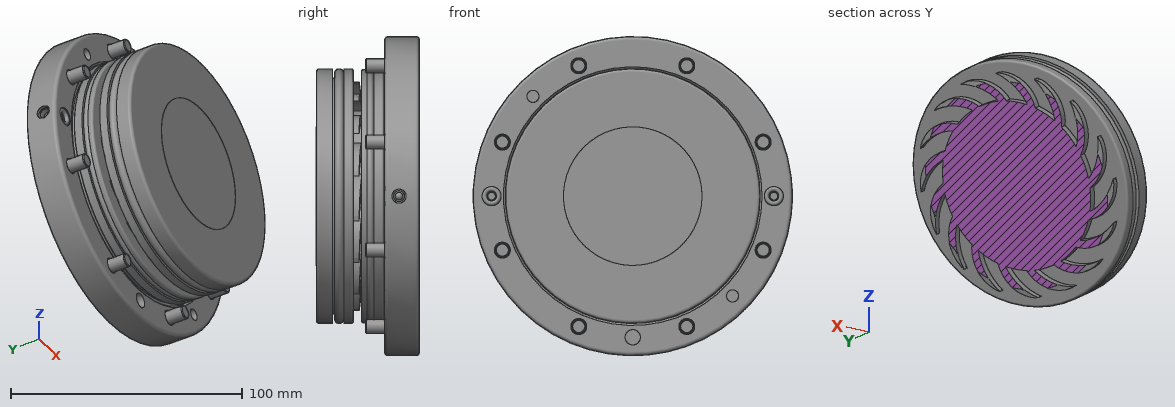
import cadquery as cq
import math


FLANGE_RADIUS = 69.0
FLANGE_THICKNESS = 15.0
FLANGE_FILLET = 1.5

RELIEF_OUTER_RADIUS = 55.9
RELIEF_DEPTH = 1.0
NECK_RADIUS = 53.7

HUB_RADIUS = 54.8
HUB_BACK = 15.3
HUB_FRONT = 25.1
HUB_FILLET = 1.0
HUB_SEAL_SECTION = 3.0
HUB_SEAL_SETBACK = 0.1
HUB_GROOVE_BACK = 19.7
HUB_GROOVE_WIDTH = 3.0

CORE_RADIUS = 38.0
SLOPE_START_RADIUS = 42.1
VANE_COUNT = 16
VANE_TIP_RADIUS = 50.1
VANE_TIP_HEIGHT = 2.5
VANE_TIP_ANGLE = 2.4
VANE_ROOT_ANGLE = 6.0
VANE_SWEEP = 26.0
VANE_FRONT_BULGE = 3.0
VANE_BACK_BULGE = 1.1
VANE_ROOT_OVERLAP = 1.4
VANE_START_ANGLE = 80.0

DISK_RADIUS = 55.0
DISK_BACK = 28.5
DISK_FRONT = 44.5
DISK_BACK_FILLET = 1.0
DISK_FRONT_FILLET = 1.4
DISK_SEAL_SECTION = 4.0
DISK_GROOVE_BACK = 32.7
DISK_GROOVE_WIDTH = 4.8
PAD_RADIUS = 30.0
PAD_HEIGHT = 0.1

PITCH_RADIUS = 61.0
PIN_COUNT = 8
PIN_RADIUS = 3.0
PIN_LENGTH = 8.3
PIN_CHAMFER = 0.4
PIN_CLEARANCE_RADIUS = 3.5
PIN_CLEARANCE_DEPTH = 6.9
DOWEL_HOLE_RADIUS = 2.6
DOWEL_HOLE_DEPTH = 6.9
DOWEL_ANGLES = (135, 315)
LOCATING_HOLE_RADIUS = 3.3
LOCATING_HOLE_DEPTH = 6.9
LOCATING_HOLE_ANGLE = 270

PORT_SEAL_SECTION = 2.1
PORT_SEAT_RADIUS = 4.1
PORT_BORE_RADIUS = 1.7
PORT_BORE_DEPTH = 6.3
RADIAL_DEPTH = 8.8
RADIAL_SEAT_RADIUS = 3.0
RADIAL_SEAT_DEPTH = 1.4
RADIAL_BORE_RADIUS = 2.3
RADIAL_BORE_DEPTH = 4.1
DOME_RADIUS = 1.7

PORT_ANGLES = (0, 180)


def polar(radius, angle):
    """X and Z of a point at a radius and an angle about the Y axis."""
    turn = math.radians(angle)
    return radius * math.cos(turn), radius * math.sin(turn)


def on_pitch_circle(angle):
    return polar(PITCH_RADIUS, angle)


def cylinder(radius, back, front, center=(0, 0)):
    """Cylinder along Y between two depths, centred at the given X and Z."""
    x, z = center
    return cq.Workplane("XZ", origin=(x, -back, z)).circle(radius).extrude(front - back)


def ring(outer_radius, inner_radius, back, front):
    """Coaxial ring along Y between two depths."""
    return cylinder(outer_radius, back, front).cut(cylinder(inner_radius, back, front))


def seal(mean_radius, section, depth, center=(0, 0)):
    """O-ring around Y at the given depth, centred at the given X and Z."""
    x, z = center
    profile = cq.Workplane("XY").center(mean_radius, -depth).circle(section / 2)
    turned = profile.revolve(360, (-mean_radius, 0), (-mean_radius, 1))
    return turned.translate((x, 0, z))


def make_flange():
    flange = cylinder(FLANGE_RADIUS, 0, FLANGE_THICKNESS).edges().fillet(FLANGE_FILLET)
    floor = FLANGE_THICKNESS - RELIEF_DEPTH
    relief = (
        cq.Workplane("XY")
        .moveTo(NECK_RADIUS, -floor)
        .lineTo(RELIEF_OUTER_RADIUS - RELIEF_DEPTH, -floor)
        .lineTo(RELIEF_OUTER_RADIUS, -FLANGE_THICKNESS)
        .lineTo(NECK_RADIUS, -FLANGE_THICKNESS)
        .close()
        .revolve(360, (0, 0), (0, 1))
    )
    return flange.cut(relief).union(cylinder(NECK_RADIUS, floor, HUB_BACK))


def make_hub():
    hub = cylinder(HUB_RADIUS, HUB_BACK, HUB_FRONT).edges().fillet(HUB_FILLET)
    floor = HUB_RADIUS - HUB_SEAL_SETBACK - HUB_SEAL_SECTION
    groove = ring(FLANGE_RADIUS, floor, HUB_GROOVE_BACK, HUB_GROOVE_BACK + HUB_GROOVE_WIDTH)
    return hub.cut(groove)


def make_disk():
    disk = cylinder(DISK_RADIUS, DISK_BACK, DISK_FRONT)
    disk = disk.faces(">Y").edges().fillet(DISK_BACK_FILLET)
    disk = disk.faces("<Y").edges().fillet(DISK_FRONT_FILLET)
    floor = DISK_RADIUS - DISK_SEAL_SECTION
    groove = ring(FLANGE_RADIUS, floor, DISK_GROOVE_BACK, DISK_GROOVE_BACK + DISK_GROOVE_WIDTH)
    pad = cylinder(PAD_RADIUS, DISK_FRONT, DISK_FRONT + PAD_HEIGHT)
    return disk.cut(groove).union(pad)


def make_vane(tip_angle):
    """One swept vane between two bowed sides, narrow at the tip and wider where it joins the core."""
    root_radius = CORE_RADIUS - VANE_ROOT_OVERLAP
    mean_radius = (VANE_TIP_RADIUS + root_radius) / 2
    root_angle = tip_angle + VANE_SWEEP
    back_tip_angle = tip_angle - VANE_TIP_ANGLE
    back_root_angle = root_angle - VANE_ROOT_ANGLE
    front_middle = polar(mean_radius + VANE_FRONT_BULGE, (tip_angle + root_angle) / 2)
    back_middle = polar(mean_radius + VANE_BACK_BULGE, (back_tip_angle + back_root_angle) / 2)
    return (
        cq.Workplane("XZ", origin=(0, -HUB_FRONT, 0))
        .moveTo(*polar(VANE_TIP_RADIUS, tip_angle))
        .threePointArc(front_middle, polar(root_radius, root_angle))
        .lineTo(*polar(root_radius, back_root_angle))
        .threePointArc(back_middle, polar(VANE_TIP_RADIUS, back_tip_angle))
        .close()
        .extrude(DISK_BACK - HUB_FRONT)
    )


def make_vane_ring():
    """Core and vanes, with the vanes' tops sloping down from the core to their tips."""
    envelope = (
        cq.Workplane("XY")
        .moveTo(0, -HUB_FRONT)
        .lineTo(SLOPE_START_RADIUS, -HUB_FRONT)
        .lineTo(VANE_TIP_RADIUS, VANE_TIP_HEIGHT - DISK_BACK)
        .lineTo(VANE_TIP_RADIUS, -DISK_BACK)
        .lineTo(0, -DISK_BACK)
        .close()
        .revolve(360, (0, 0), (0, 1))
    )
    vanes = cylinder(CORE_RADIUS, HUB_FRONT, DISK_BACK)
    for index in range(VANE_COUNT):
        vanes = vanes.union(make_vane(VANE_START_ANGLE + index * 360 / VANE_COUNT))
    return vanes.intersect(envelope)


def add_pins(body):
    """Pins standing on the flange, each in a clearance ring."""
    root = FLANGE_THICKNESS - PIN_CLEARANCE_DEPTH
    for index in range(PIN_COUNT):
        center = on_pitch_circle((index + 0.5) * 360 / PIN_COUNT)
        pin = cylinder(PIN_RADIUS, root, FLANGE_THICKNESS + PIN_LENGTH, center)
        pin = pin.faces("<Y").edges().chamfer(PIN_CHAMFER)
        body = body.cut(cylinder(PIN_CLEARANCE_RADIUS, root, FLANGE_THICKNESS, center)).union(pin)
    return body


def face_hole(radius, depth, angle):
    """Blind hole into the flange face."""
    return cylinder(radius, FLANGE_THICKNESS - depth, FLANGE_THICKNESS, on_pitch_circle(angle))


def cut_face_holes(body):
    """Two dowel holes on one diagonal and the locating hole at the bottom."""
    for angle in DOWEL_ANGLES:
        body = body.cut(face_hole(DOWEL_HOLE_RADIUS, DOWEL_HOLE_DEPTH, angle))
    return body.cut(face_hole(LOCATING_HOLE_RADIUS, LOCATING_HOLE_DEPTH, LOCATING_HOLE_ANGLE))


def cut_port(body, angle):
    """Counterbored axial bore in the face and counterbored radial bore in the rim."""
    seat = face_hole(PORT_SEAT_RADIUS, PORT_SEAL_SECTION, angle)
    bore = face_hole(PORT_BORE_RADIUS, PORT_BORE_DEPTH, angle)

    rim_x, rim_z = polar(FLANGE_RADIUS, angle)
    inward_x, inward_z = polar(-1, angle)
    rim_point = cq.Vector(rim_x, -RADIAL_DEPTH, rim_z)
    inward = cq.Vector(inward_x, 0, inward_z)
    radial_seat = cq.Solid.makeCylinder(RADIAL_SEAT_RADIUS, RADIAL_SEAT_DEPTH, rim_point, inward)
    radial_bore = cq.Solid.makeCylinder(RADIAL_BORE_RADIUS, RADIAL_BORE_DEPTH, rim_point, inward)
    bottom = rim_point + inward * RADIAL_BORE_DEPTH
    dome = cq.Workplane("XY", origin=bottom.toTuple()).sphere(DOME_RADIUS)

    return body.cut(seat).cut(bore).cut(radial_seat).cut(radial_bore).union(dome)


main_body = make_flange().union(make_hub()).union(make_vane_ring()).union(make_disk())
main_body = cut_face_holes(add_pins(main_body))
for port_angle in PORT_ANGLES:
    main_body = cut_port(main_body, port_angle)

hub_seal = seal(
    HUB_RADIUS - HUB_SEAL_SETBACK - HUB_SEAL_SECTION / 2,
    HUB_SEAL_SECTION,
    HUB_GROOVE_BACK + HUB_GROOVE_WIDTH / 2,
)
disk_seal = seal(
    DISK_RADIUS - DISK_SEAL_SECTION / 2,
    DISK_SEAL_SECTION,
    DISK_GROOVE_BACK + DISK_SEAL_SECTION / 2,
)
port_seals = [
    seal(
        PORT_SEAT_RADIUS - PORT_SEAL_SECTION / 2,
        PORT_SEAL_SECTION,
        FLANGE_THICKNESS - PORT_SEAL_SECTION / 2,
        on_pitch_circle(port_angle),
    ).val()
    for port_angle in PORT_ANGLES
]

result = cq.Compound.makeCompound([main_body.val(), hub_seal.val(), disk_seal.val(), *port_seals])